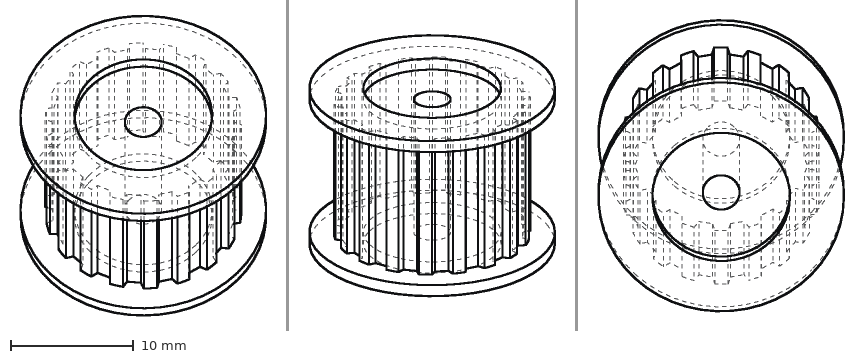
import cadquery as cq
import math

flange_diameter = 20.0
flange_thickness = 1.0
toothed_length = 12.0
toothed_diameter = 16.0
bore_diameter = 3.0
flange_opening_diameter = 11.2

tooth_count = 18
groove_floor_width = 1.12
groove_depth = 0.6
groove_flank_angle = 28.0

total_length = toothed_length + 2 * flange_thickness
tooth_pitch_angle = 360.0 / tooth_count


def disc(diameter, bottom, height):
    """Cylinder on the Z axis, standing at the given height."""
    return cq.Workplane("XY").workplane(offset=bottom).circle(diameter / 2).extrude(height)


def groove_cutter():
    """Prism of one groove, centred on +X and reaching past the tooth tips."""
    floor_radius = toothed_diameter / 2 - groove_depth
    outer_radius = flange_diameter / 2
    half_floor = groove_floor_width / 2
    half_mouth = half_floor + (outer_radius - floor_radius) * math.tan(math.radians(groove_flank_angle))
    corners = [
        (floor_radius, -half_floor),
        (outer_radius, -half_mouth),
        (outer_radius, half_mouth),
        (floor_radius, half_floor),
    ]
    return cq.Workplane("XY").workplane(offset=flange_thickness).polyline(corners).close().extrude(toothed_length)


def toothed_body():
    """Cylinder between the flanges, with teeth centred on +X and -X."""
    body = disc(toothed_diameter, flange_thickness, toothed_length)
    cutter = groove_cutter()
    for index in range(tooth_count):
        angle = (index + 0.5) * tooth_pitch_angle
        body = body.cut(cutter.rotate((0, 0, 0), (0, 0, 1), angle))
    return body


def ring_flange(bottom):
    """Flat ring whose opening leaves the end of the toothed body recessed."""
    ring = disc(flange_diameter, bottom, flange_thickness)
    return ring.cut(disc(flange_opening_diameter, bottom, flange_thickness))


pulley = toothed_body()
for flange_bottom in (0, flange_thickness + toothed_length):
    pulley = pulley.union(ring_flange(flange_bottom))

result = pulley.cut(disc(bore_diameter, 0, total_length))